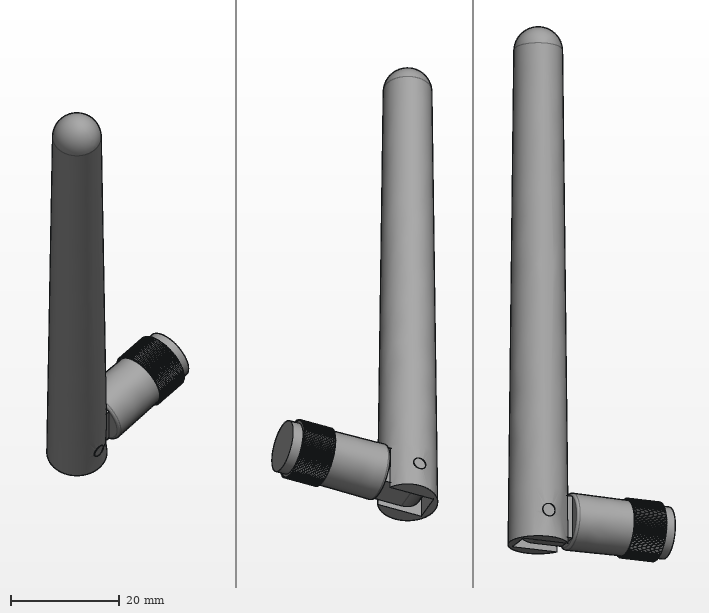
import cadquery as cq
import math


total_height = 100.5
overall_depth = 30.9
max_diameter = 11.2
hinge_z = max_diameter / 2

whip_bottom_z = 0.4
whip_top_diameter = 9.0
dome_height = 4.3

tongue_width = 5.6
tongue_diameter = 8.0
pin_diameter = 2.4

barrel_start_y = 5.7
knurl_start_y = 17.0
knurl_end_y = 23.3
connector_end_y = overall_depth - max_diameter / 2

barrel_base_diameter = 10.7
barrel_end_diameter = 10.4
barrel_edge_fillet = 0.5

collar_diameter = 9.7
groove_count = 100
groove_depth = 0.2


def cylinder_along_y(diameter, start_y, end_y):
    """Round bar on the connector axis."""
    return (
        cq.Workplane("XZ", origin=(0, start_y, hinge_z))
        .circle(diameter / 2)
        .extrude(start_y - end_y)
    )


def bar_along_x(diameter, length):
    """Round bar on the hinge axis, centred on the whip."""
    return cq.Workplane("YZ", origin=(0, 0, hinge_z)).circle(diameter / 2).extrude(length / 2, both=True)


def make_whip():
    """Tapered rod with a domed tip, a hinge slot open to +Y and below, and a pin hole."""
    foot_radius = max_diameter / 2
    tip_radius = whip_top_diameter / 2
    dome_z = total_height - dome_height
    dome_radius = (tip_radius**2 + dome_height**2) / (2 * dome_height)
    half_angle = math.atan2(tip_radius, dome_radius - dome_height) / 2
    dome_mid = (
        dome_radius * math.sin(half_angle),
        total_height - dome_radius * (1 - math.cos(half_angle)),
    )
    rod = (
        cq.Workplane("XZ")
        .moveTo(0, whip_bottom_z)
        .lineTo(foot_radius, whip_bottom_z)
        .lineTo(tip_radius, dome_z)
        .threePointArc(dome_mid, (0, total_height))
        .close()
        .revolve(360, (0, 0, 0), (0, 1, 0))
    )
    slot_start_y = -tongue_diameter / 2
    slot_top_z = hinge_z + tongue_diameter / 2
    slot = cq.Workplane("XY", origin=(0, slot_start_y, 0)).box(
        tongue_width, foot_radius - slot_start_y, slot_top_z, centered=(True, False, False)
    )
    return rod.cut(slot).cut(bar_along_x(pin_diameter, max_diameter))


def make_hinge_pin():
    """Pin across the full width of the whip foot."""
    return bar_along_x(pin_diameter, max_diameter)


def make_knuckle():
    """Flat tongue, rounded about the hinge axis, reaching to the barrel."""
    tongue = bar_along_x(tongue_diameter, tongue_width)
    shank = cq.Workplane("XY", origin=(0, 0, hinge_z)).box(
        tongue_width, barrel_start_y, tongue_diameter, centered=(True, False, True)
    )
    return tongue.union(shank).cut(bar_along_x(pin_diameter, tongue_width))


def make_barrel():
    """Tapered round barrel with a softened edge at the knuckle end."""
    return (
        cq.Workplane("XZ", origin=(0, barrel_start_y, hinge_z))
        .circle(barrel_base_diameter / 2)
        .workplane(offset=barrel_start_y - knurl_start_y)
        .circle(barrel_end_diameter / 2)
        .loft()
        .faces("<Y")
        .edges()
        .fillet(barrel_edge_fillet)
    )


def make_coupling_nut():
    """Knurled band with a plain collar at the open end."""
    band_radius = max_diameter / 2
    valley_radius = band_radius - groove_depth
    half_pitch = math.pi / groove_count
    outline = []
    for tooth in range(groove_count):
        crest_angle = 2 * half_pitch * tooth
        valley_angle = crest_angle + half_pitch
        outline.append((band_radius * math.cos(crest_angle), band_radius * math.sin(crest_angle)))
        outline.append((valley_radius * math.cos(valley_angle), valley_radius * math.sin(valley_angle)))
    band = (
        cq.Workplane("XZ", origin=(0, knurl_start_y, hinge_z))
        .polyline(outline)
        .close()
        .extrude(knurl_start_y - knurl_end_y)
    )
    return band.union(cylinder_along_y(collar_diameter, knurl_end_y, connector_end_y))


whip = make_whip()
hinge_pin = make_hinge_pin()
knuckle = make_knuckle()
barrel = make_barrel()
coupling_nut = make_coupling_nut()

result = cq.Compound.makeCompound(
    [whip.val(), hinge_pin.val(), knuckle.val(), barrel.val(), coupling_nut.val()]
)